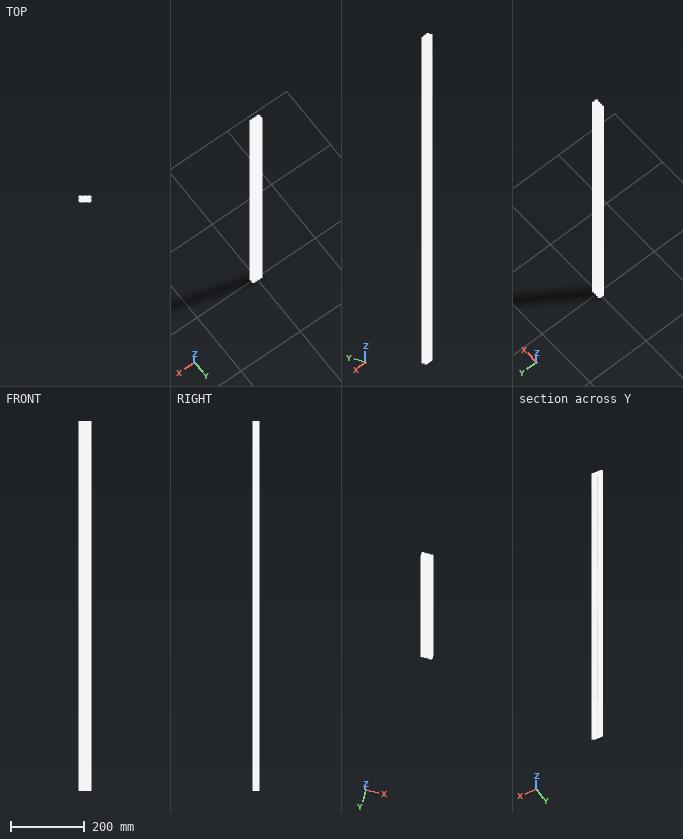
import cadquery as cq

length = 1000.0
cell = 15.0
width = 2 * cell
height = cell
cell_centre = cell / 2

mouth_half_width = 2.9
neck_half_width = 1.3
flank_slope = 1.5
lip_depth = flank_slope * (mouth_half_width - neck_half_width)
chamber_half_width = 2.9
slot_depth = 4.0

corner_step = 1.35
corner_radius = 0.75

bore_diameter = 4.0
hollow_width = 7.0
hollow_height = 4.0
hollow_corner_radius = 1.0


def make_groove():
    """Tapered groove in a face lying on Y = 0, cutting towards -Y."""
    outline = [
        (-mouth_half_width, 0),
        (-neck_half_width, -lip_depth),
        (neck_half_width, -lip_depth),
        (mouth_half_width, 0),
    ]
    return cq.Workplane("XY").polyline(outline).close().extrude(length)


def make_slot():
    """Tapered groove opening into a rectangular chamber."""
    chamber_depth = slot_depth - lip_depth
    chamber = (
        cq.Workplane("XY")
        .center(0, -lip_depth - chamber_depth / 2)
        .rect(2 * chamber_half_width, chamber_depth)
        .extrude(length)
    )
    return make_groove().union(chamber)


def turn_about_z(shape, angle):
    """Turn a shape about the length axis of the bar."""
    return shape.rotate((0, 0, 0), (0, 0, 1), angle)


def make_body():
    """Bar with a square step along each outer corner, its outer edges rounded."""
    wide_bar = cq.Workplane("XY").rect(width, height - 2 * corner_step).extrude(length)
    tall_bar = cq.Workplane("XY").rect(width - 2 * corner_step, height).extrude(length)
    body = wide_bar.union(tall_bar)
    body = body.faces("<X or >X").edges("|Z").fillet(corner_radius)
    return body.faces("<Y or >Y").edges("|Z").fillet(corner_radius)


def cut_wide_faces(body):
    """One slot per cell and a groove on the middle line, on both wide faces."""
    for turn in (0, 180):
        for x in (-cell_centre, cell_centre):
            slot = make_slot().translate((x, height / 2, 0))
            body = body.cut(turn_about_z(slot, turn))
        groove = make_groove().translate((0, height / 2, 0))
        body = body.cut(turn_about_z(groove, turn))
    return body


def cut_narrow_faces(body):
    """One slot in the middle of each narrow face."""
    for turn in (90, -90):
        slot = make_slot().translate((0, width / 2, 0))
        body = body.cut(turn_about_z(slot, turn))
    return body


def cut_cavities(body):
    """Bore along each cell and the rounded hollow between the cells."""
    bores = (
        cq.Workplane("XY")
        .pushPoints([(-cell_centre, 0), (cell_centre, 0)])
        .circle(bore_diameter / 2)
        .extrude(length)
    )
    hollow = cq.Workplane("XY").rect(hollow_width, hollow_height).extrude(length)
    hollow = hollow.edges("|Z").fillet(hollow_corner_radius)
    return body.cut(bores).cut(hollow)


result = cut_cavities(cut_narrow_faces(cut_wide_faces(make_body())))